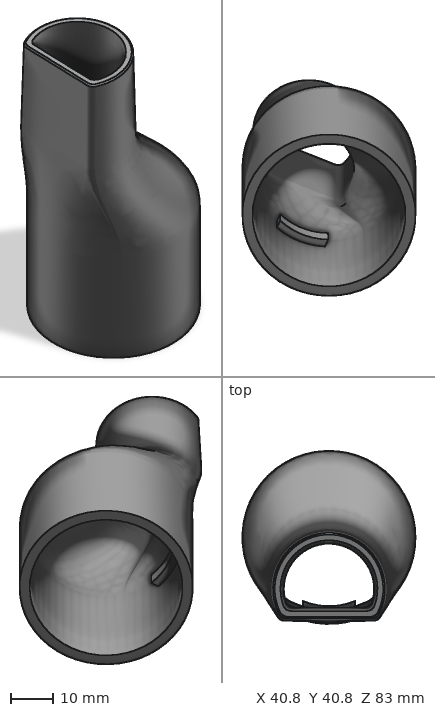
import cadquery as cq
import math

socket_radius = 20.4
bore_radius = 18.0
socket_height = 30.0

total_height = 83.0
neck_height = 58.0
neck_radius = 13.8
neck_center_y = -12.1
neck_flat_y = -19.7
mouth_corner_radius = 2.0
mouth_shrink = 0.6
rim_chamfer = 0.4
neck_wall = 3.15
mouth_wall = 1.75

tab_width = 12.3
tab_inner_radius = 16.2
tab_height = 4.15

transition_steps = 6
front_edge_angle = math.radians(-39.8)
corner_sweep = math.radians(0.8)


def circle_point(radius, angle, center_y=0.0):
    return (radius * math.cos(angle), center_y + radius * math.sin(angle))


def round_outline(radius):
    """Right-hand points of a circle, ordered from front middle to back middle."""
    angles = (
        -math.pi / 2,
        front_edge_angle - corner_sweep,
        front_edge_angle - corner_sweep / 2,
        front_edge_angle,
        math.pi / 2,
    )
    return [circle_point(radius, angle) for angle in angles]


def d_outline(inset):
    """Right-hand points of a circle cut by a front flat, with rounded corners."""
    radius = neck_radius - inset
    flat_y = neck_flat_y + inset
    corner_y = flat_y + mouth_corner_radius
    reach = radius - mouth_corner_radius
    corner_x = math.sqrt(reach**2 - (corner_y - neck_center_y) ** 2)
    end_angle = math.atan2(corner_y - neck_center_y, corner_x)
    middle_angle = (end_angle - math.pi / 2) / 2
    corner_middle = (
        corner_x + mouth_corner_radius * math.cos(middle_angle),
        corner_y + mouth_corner_radius * math.sin(middle_angle),
    )
    return [
        (0, flat_y),
        (corner_x, flat_y),
        corner_middle,
        circle_point(radius, end_angle, neck_center_y),
        (0, neck_center_y + radius),
    ]


def blend_outline(start, end, fraction):
    """Blend two outlines, leaving both ends vertically except at the straight front."""
    eased = fraction**2 * (3 - 2 * fraction)
    points = [
        (x0 + (x1 - x0) * eased, y0 + (y1 - y0) * eased)
        for (x0, y0), (x1, y1) in zip(start, end)
    ]
    points[0] = (0, start[0][1] + (end[0][1] - start[0][1]) * fraction)
    return points


def outline_wire(outline, z):
    """Closed symmetric wire made of front, two corner and back edges."""
    front, edge, corner, side, back = [cq.Vector(x, y, z) for x, y in outline]
    left_edge, left_corner, left_side = [cq.Vector(-p.x, p.y, z) for p in (edge, corner, side)]
    if math.isclose(front.y, edge.y):
        front_line = cq.Edge.makeLine(left_edge, edge)
    else:
        front_line = cq.Edge.makeThreePointArc(left_edge, front, edge)
    return cq.Wire.assembleEdges([
        front_line,
        cq.Edge.makeThreePointArc(edge, corner, side),
        cq.Edge.makeThreePointArc(side, back, left_side),
        cq.Edge.makeThreePointArc(left_side, left_corner, left_edge),
    ])


def transition(radius, neck_inset):
    start = round_outline(radius)
    end = d_outline(neck_inset)
    wires = []
    for step in range(transition_steps + 1):
        fraction = step / transition_steps
        z = socket_height + (neck_height - socket_height) * fraction
        wires.append(outline_wire(blend_outline(start, end, fraction), z))
    return cq.Workplane(cq.Solid.makeLoft(wires))


def d_loft(bottom_inset, top_inset, bottom_z, top_z):
    wires = [
        outline_wire(d_outline(bottom_inset), bottom_z),
        outline_wire(d_outline(top_inset), top_z),
    ]
    return cq.Workplane(cq.Solid.makeLoft(wires, True))


def outer_body():
    socket = cq.Workplane("XY").circle(socket_radius).extrude(socket_height)
    rim_z = total_height - rim_chamfer
    mouth = d_loft(0, mouth_shrink, neck_height, rim_z)
    rim = d_loft(mouth_shrink, mouth_shrink + rim_chamfer, rim_z, total_height)
    return socket.union(transition(socket_radius, 0)).union(mouth).union(rim)


def inner_passage():
    bore = cq.Workplane("XY").circle(bore_radius).extrude(socket_height)
    mouth = d_loft(neck_wall, mouth_shrink + mouth_wall, neck_height, total_height)
    return bore.union(transition(bore_radius, neck_wall)).union(mouth)


def locating_tab():
    tab_bottom = socket_height - tab_height
    middle_radius = (bore_radius + socket_radius) / 2
    ring = (
        cq.Workplane("XY", origin=(0, 0, tab_bottom))
        .circle(middle_radius)
        .circle(tab_inner_radius)
        .extrude(tab_height)
    )
    front_strip = (
        cq.Workplane("XY", origin=(0, -socket_radius / 2, tab_bottom))
        .rect(tab_width, socket_radius)
        .extrude(tab_height)
    )
    return ring.intersect(front_strip)


result = outer_body().cut(inner_passage()).union(locating_tab())